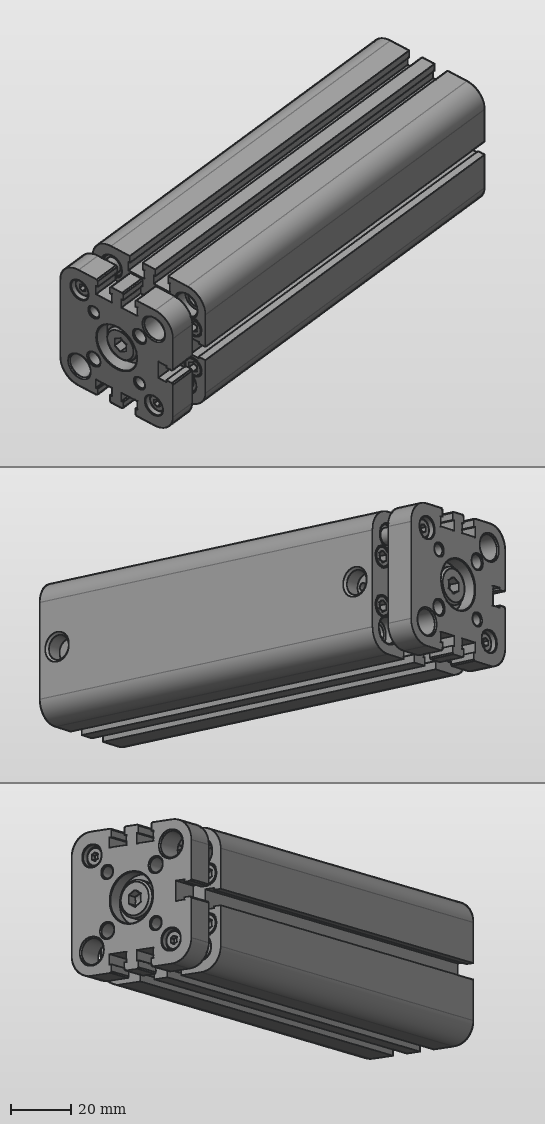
import cadquery as cq
import math

width = 49.0
length = 160.2
corner_radius = 7.8

plate_thickness = 10.0
plate_gap = 6.7
body_start = plate_thickness + plate_gap

slot_depth = 6.4
slot_lip = 2.9
slot_cavity_width = 6.9
plate_slot_opening = 5.3
body_slot_opening = 5.6
slot_pitch = 11.0
plate_slot_chamfer = 0.5

socket_depth_ratio = 0.7

corner_offset = 16.2
first_diagonal = [(-corner_offset, corner_offset), (corner_offset, -corner_offset)]
second_diagonal = [(corner_offset, corner_offset), (-corner_offset, -corner_offset)]
guide_rod_diameters = [6.0, 5.0]
guide_screw_hole = 7.5
guide_screw_hole_mouth = 8.0
guide_screw_head = 7.0
guide_screw_crown = 6.0
guide_screw_recess = 1.6
guide_socket_size = 2.5
access_hole = 9.0
access_hole_mouth = 10.0

rod_seat = 8.0
rod_seat_mouth = 9.0
rod_seat_depth = 1.0
tie_recess = 9.0
tie_recess_mouth = 10.0
tie_recess_depth = 4.8
tie_hole = 5.0
tie_hole_mouth = 6.5

dowel_offset = 10.0
small_dowel_hole = 4.2
small_dowel_mouth = 5.0
large_dowel_hole = 5.1
large_dowel_mouth = 6.0

rod_diameter = 12.0
rod_flat_width = 10.1
rod_collar_length = 1.3
rod_tip_diameter = 11.5
rod_tip_length = 1.5
screw_counterbore = 17.5
screw_counterbore_mouth = 18.0
screw_counterbore_depth = 5.5
screw_head = 13.0
screw_crown = 11.4
screw_recess = 2.0
screw_socket_size = 5.0

cap_screw_x = 19.0
cap_screw_z = 8.5
cap_screw_recess = 7.5
cap_screw_head = 6.5
cap_screw_recess_depth = 0.6
cap_screw_socket_size = 3.5

port_diameter = 8.5
port_mouth = 10.3
port_depth = 6.4
port_end_distance = 7.5
air_passage = 2.5
air_passage_offset = 2.0
air_passage_depth = 4.8


def cylinder(x, z, diameter, start, end):
    """Cylinder parallel to Y between two Y positions."""
    return cq.Workplane("XZ", origin=(x, start, z)).circle(diameter / 2).extrude(start - end)


def cone(x, z, start_diameter, end_diameter, start, end):
    """Cone or frustum parallel to Y between two Y positions."""
    axis = cq.Vector(0, 1, 0)
    solid = cq.Solid.makeCone(start_diameter / 2, end_diameter / 2, end - start, cq.Vector(x, start, z), axis)
    return cq.Workplane(solid)


def chamfered_hole(x, z, diameter, mouth, start, end):
    """Hole along +Y with a 45 degree chamfer at its front mouth."""
    chamfer = (mouth - diameter) / 2
    hole = cylinder(x, z, diameter, start, end)
    return hole.union(cone(x, z, mouth, diameter, start, start + chamfer))


def hex_socket(x, z, across_flats, start):
    """Hexagonal socket with a conical floor and two flats facing +X and -X."""
    across_corners = across_flats / math.cos(math.pi / 6)
    floor = start + across_flats * socket_depth_ratio
    tip = floor + across_corners / 2
    prism = (
        cq.Workplane("XZ", origin=(x, start, z))
        .transformed(rotate=(0, 0, 30))
        .polygon(6, across_corners)
        .extrude(start - tip)
    )
    straight_part = cylinder(x, z, across_corners, start, floor)
    return prism.intersect(straight_part.union(cone(x, z, across_corners, 0, floor, tip)))


def screw_head_solid(x, z, diameter, crown, start, end):
    """Screw head with a 45 degree chamfer round its front face."""
    chamfer = (diameter - crown) / 2
    head = cylinder(x, z, diameter, start + chamfer, end)
    return head.union(cone(x, z, crown, diameter, start, start + chamfer))


def block(start, end):
    """Rounded square section from one Y position to another."""
    return (
        cq.Workplane("XZ", origin=(0, start, 0))
        .rect(width, width)
        .extrude(start - end)
        .edges("|Y")
        .fillet(corner_radius)
    )


def t_slot(start, end, opening, mouth_chamfer):
    """T-slot cutter in the +Z face, centred on X = 0, with optional chamfers at its mouth."""
    half_cavity = slot_cavity_width / 2
    half_opening = opening / 2
    face = width / 2
    slot = (
        cq.Workplane("XZ", origin=(0, start, 0))
        .moveTo(-half_cavity, face - slot_depth)
        .lineTo(half_cavity, face - slot_depth)
        .lineTo(half_cavity, face - slot_lip)
        .lineTo(half_opening, face - slot_lip)
        .lineTo(half_opening, face)
        .lineTo(-half_opening, face)
        .lineTo(-half_opening, face - slot_lip)
        .lineTo(-half_cavity, face - slot_lip)
        .close()
        .extrude(start - end)
    )
    if mouth_chamfer > 0:
        flare = (
            cq.Workplane("XZ", origin=(0, start, 0))
            .moveTo(-half_opening, face - mouth_chamfer)
            .lineTo(half_opening, face - mouth_chamfer)
            .lineTo(half_opening + mouth_chamfer, face)
            .lineTo(-half_opening - mouth_chamfer, face)
            .close()
            .extrude(start - end)
        )
        slot = slot.union(flare)
    return slot


def slotted_block(start, end, opening, mouth_chamfer=0):
    """Rounded square section with two slots above and below and one in the +X face."""
    solid = block(start, end)
    slot = t_slot(start, end, opening, mouth_chamfer)
    for side in (-1, 1):
        top_slot = slot.translate((side * slot_pitch / 2, 0, 0))
        solid = solid.cut(top_slot).cut(top_slot.mirror("XY"))
    return solid.cut(slot.rotate((0, 0, 0), (0, 1, 0), 90))


def make_plate():
    plate = slotted_block(0, plate_thickness, plate_slot_opening, plate_slot_chamfer)
    for x, z in second_diagonal:
        plate = plate.cut(chamfered_hole(x, z, access_hole, access_hole_mouth, 0, plate_thickness))
    for x, z in first_diagonal:
        seat = plate_thickness / 2
        hole = chamfered_hole(x, z, guide_screw_hole, guide_screw_hole_mouth, 0, seat)
        head = screw_head_solid(x, z, guide_screw_head, guide_screw_crown, guide_screw_recess, seat)
        socket = hex_socket(x, z, guide_socket_size, guide_screw_recess)
        plate = plate.cut(hole).union(head).cut(socket)
    for side in (-1, 1):
        x = side * dowel_offset
        small = chamfered_hole(x, -x, small_dowel_hole, small_dowel_mouth, 0, plate_thickness)
        large = chamfered_hole(x, x, large_dowel_hole, large_dowel_mouth, 0, plate_thickness)
        plate = plate.cut(small).cut(large)
    plate = plate.cut(
        chamfered_hole(0, 0, screw_counterbore, screw_counterbore_mouth, 0, screw_counterbore_depth)
    )
    head = screw_head_solid(0, 0, screw_head, screw_crown, screw_recess, screw_counterbore_depth)
    return plate.union(head).cut(hex_socket(0, 0, screw_socket_size, screw_recess))


def cut_port(body, y, passage_y):
    """Chamfered port in the -X face with an air passage in its floor."""
    face = -width / 2
    floor = port_depth + air_passage_depth
    port = chamfered_hole(0, 0, port_diameter, port_mouth, 0, port_depth)
    passage = cylinder(0, 0, air_passage, 0, floor)
    port = port.rotate((0, 0, 0), (0, 0, 1), -90).translate((face, y, 0))
    passage = passage.rotate((0, 0, 0), (0, 0, 1), -90).translate((face, passage_y, 0))
    return body.cut(port).cut(passage)


def make_body():
    body = slotted_block(body_start, length, body_slot_opening)
    seat_floor = body_start + rod_seat_depth
    for x, z in first_diagonal:
        body = body.cut(chamfered_hole(x, z, rod_seat, rod_seat_mouth, body_start, seat_floor))
    recess_floor = body_start + tie_recess_depth
    for x, z in second_diagonal:
        body = body.cut(chamfered_hole(x, z, tie_recess, tie_recess_mouth, body_start, recess_floor))
        body = body.cut(chamfered_hole(x, z, tie_hole, tie_hole_mouth, recess_floor, length))
    screw_floor = body_start + cap_screw_recess_depth
    for x in (-cap_screw_x, cap_screw_x):
        for z in (-cap_screw_z, cap_screw_z):
            body = body.cut(cylinder(x, z, cap_screw_recess, body_start, screw_floor))
            body = body.union(cylinder(x, z, cap_screw_head, body_start, screw_floor))
            body = body.cut(hex_socket(x, z, cap_screw_socket_size, body_start))
    front_port = body_start + port_end_distance
    rear_port = length - port_end_distance
    body = cut_port(body, front_port, front_port + air_passage_offset)
    return cut_port(body, rear_port, rear_port - air_passage_offset)


def make_piston_rod():
    """Rod between plate and body, with a coned tip and two wrench flats."""
    tip_end = plate_thickness + rod_tip_length
    rod = cylinder(0, 0, rod_diameter, tip_end, body_start)
    rod = rod.union(cone(0, 0, rod_tip_diameter, rod_diameter, plate_thickness, tip_end))
    flat_x = rod_flat_width / 2
    rod_radius = rod_diameter / 2
    slope_start = body_start - rod_collar_length
    flat = (
        cq.Workplane("XY")
        .moveTo(flat_x, plate_thickness)
        .lineTo(rod_radius, plate_thickness)
        .lineTo(rod_radius, slope_start)
        .lineTo(flat_x, slope_start - (rod_radius - flat_x))
        .close()
        .extrude(rod_radius, both=True)
    )
    return rod.cut(flat).cut(flat.mirror("YZ"))


def make_guide_rods():
    rods = cq.Workplane()
    for (x, z), diameter in zip(first_diagonal, guide_rod_diameters):
        rods = rods.union(cylinder(x, z, diameter, plate_thickness, body_start + rod_seat_depth))
    return rods


result = make_body().union(make_guide_rods()).union(make_piston_rod()).union(make_plate())